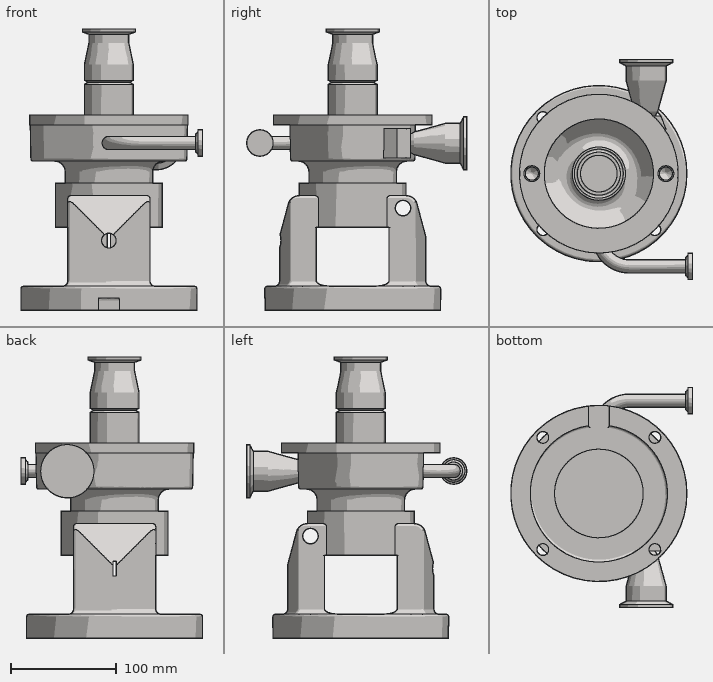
import cadquery as cq
import math

base_radius = 83.5
base_height = 22.8
base_edge_fillet = 2.6
base_bore_radius = 42.0
base_bore_fillet = 4.5
bolt_circle_radius = 75.0
bolt_hole_radius = 5.5
bolt_count = 4
bolt_start_angle = 45
notch_width = 20.0
notch_height = 11.8
notch_corner_fillet = 1.8
recess_radius = 65.0
recess_height = notch_height
recess_fillet = 2.6

arm_half_width = 39.0
arm_top = 108.6
arm_ridge_offset = 69.3
arm_ridge_half_width = 2.5
arm_slope = math.tan(math.radians(15))
arm_slope_start = 70.0
arm_start = 25.0
arm_bore_radius = 52.0
arm_top_fillet = 10.5
arm_side_fillet = 3.0
arm_foot_fillet = 5.0
arm_hole_height = 66.0
arm_hole_radius = 6.9
arm_slit_width = 2.75
cross_hole_offset = 47.7
cross_hole_height = 96.8
cross_hole_radius = 7.2

drum_radius = 50.7
drum_bottom = 78.6
drum_top = 120.4
neck_radius = 41.6
neck_fillet = 10.0

casing_bottom = 141.2
casing_top = 175.7
casing_radius = 59.6
casing_draft = 1.0
casing_edge_fillet = 2.5
ear_offset = 40.0
ear_radius = 34.6
flange_radius = 75.2
flange_top = 185.0
screw_offset = 63.5
screw_radius = 7.5
screw_depth = 10.0
screw_tip_radius = 6.2
screw_tip_height = 3.6

pipe_radius = 23.3
dish_radius = 51.8
dish_fillet = 10.0
weld_groove_radius = 20.6
weld_groove_bottom = 214.1
weld_groove_top = 217.9
weld_groove_chamfer = 1.5
reducer_bottom = 232.6
reducer_top = 253.0
inlet_top = 266.6
inlet_bore_radius = 17.4
inlet_bore_bottom = casing_top

clamp_radius = 25.25
clamp_neck_radius = 19.05
clamp_rim = 3.0
clamp_taper = (clamp_radius - clamp_neck_radius) * math.tan(math.radians(20))
gasket_radius = 21.8
gasket_groove_radius = 1.4

outlet_height = 158.2
outlet_offset = 44.8
outlet_end = 108.2
outlet_taper = 3.3
outlet_cone_end = 87.9
outlet_cone_start = 58.4
outlet_cone_radius = 10.9
outlet_neck_radius = 8.6
boss_end = 54.6
boss_half_width = 13.9
boss_shoulder = 42.2
boss_shoulder_half_width = 18.8

drain_height = (casing_bottom + casing_top) / 2
drain_radius = 6.35
drain_offset = 87.9
drain_bend_radius = 28.7
drain_end = 88.9
drain_clamp_radius = 12.6
drain_rim = 4.5
drain_taper = 2.2
drain_taper_radius = 8.5


def cylinder(radius, bottom, top):
    return cq.Workplane("XY").workplane(offset=bottom).circle(radius).extrude(top - bottom)


def revolve_z(profile):
    """Revolve a closed profile drawn as (radius, height) about the Z axis."""
    return profile.close().revolve(360, (0, 0, 0), (0, 1, 0))


def make_base():
    base = cylinder(base_radius, 0, base_height).faces(">Z").edges().fillet(base_edge_fillet)
    base = base.cut(cylinder(base_bore_radius, 0, base_height))
    bore_rim = base.faces(">Z").edges(cq.selectors.RadiusNthSelector(0))
    return bore_rim.fillet(base_bore_fillet)


def make_arm():
    """Build the arm on the -Y side: V-shaped outer faces below a sloping triangular face."""
    side_offset = arm_ridge_offset - arm_slope * (arm_half_width - arm_ridge_half_width)
    top_offset = arm_ridge_offset - arm_slope * (arm_top - arm_slope_start)
    wedge = (
        cq.Workplane("XY")
        .workplane(offset=base_height)
        .moveTo(-arm_half_width, -arm_start)
        .lineTo(-arm_half_width, -side_offset)
        .lineTo(-arm_ridge_half_width, -arm_ridge_offset)
        .lineTo(arm_ridge_half_width, -arm_ridge_offset)
        .lineTo(arm_half_width, -side_offset)
        .lineTo(arm_half_width, -arm_start)
        .close()
        .extrude(arm_top - base_height)
    )
    outer_corners = wedge.faces("<X or >X").edges("|Z and (not >Y)")
    wedge = outer_corners.fillet(arm_side_fillet)
    slope = (
        cq.Workplane("YZ")
        .moveTo(-arm_start, base_height)
        .lineTo(-arm_ridge_offset, base_height)
        .lineTo(-arm_ridge_offset, arm_slope_start)
        .lineTo(-top_offset, arm_top)
        .lineTo(-arm_start, arm_top)
        .close()
        .extrude(arm_half_width, both=True)
    )
    slope = slope.faces(">Z").edges("<Y").fillet(arm_top_fillet)
    slope = slope.faces(">Z").edges("<X or >X").fillet(arm_side_fillet)
    return wedge.intersect(slope)


def foot_edges(stand):
    """Return the edges where the arms stand on the top face of the base."""
    margin = 1.0
    reach_x = arm_half_width + margin
    reach_y = arm_ridge_offset + margin
    edges = []
    for side in (-1, 1):
        arm_zone = cq.selectors.BoxSelector(
            (-reach_x, side * arm_start, base_height - margin),
            (reach_x, side * reach_y, base_height + margin),
        )
        edges += stand.edges(arm_zone).vals()
    return stand.newObject(edges)


def cut_base_details(stand):
    """Drill the bolt holes, recess the underside and open the recess with a notch on the -Y side."""
    bolt_holes = (
        cq.Workplane("XY")
        .polarArray(bolt_circle_radius, bolt_start_angle, 360, bolt_count)
        .circle(bolt_hole_radius)
        .extrude(base_height)
    )
    recess = cylinder(recess_radius, 0, recess_height).faces(">Z").edges().fillet(recess_fillet)
    notch = cq.Workplane("XY").box(notch_width, base_radius, notch_height, centered=(True, False, False))
    notch = notch.edges("|Y and >Z").fillet(notch_corner_fillet).translate((0, -base_radius, 0))
    return stand.cut(bolt_holes).cut(recess).cut(notch)


def cut_arm_openings(stand):
    """Cut the round hole in the -Y arm and the narrow slit of equal height in the +Y arm."""
    hole = (
        cq.Workplane("XZ")
        .center(0, arm_hole_height)
        .circle(arm_hole_radius)
        .extrude(base_radius)
    )
    slit = (
        cq.Workplane("XZ")
        .center(0, arm_hole_height)
        .rect(arm_slit_width, 2 * arm_hole_radius)
        .extrude(-base_radius)
    )
    return stand.cut(hole).cut(slit)


def make_stand():
    arm = make_arm()
    stand = make_base().union(arm).union(arm.rotate((0, 0, 0), (0, 0, 1), 180))
    stand = stand.cut(cylinder(arm_bore_radius, base_height, drum_bottom))
    stand = foot_edges(stand).fillet(arm_foot_fillet)
    return cut_arm_openings(cut_base_details(stand))


def make_drum():
    """Build the drum between the arms and the neck that flares out below the casing."""
    neck_straight_top = casing_bottom - neck_fillet
    flare_radius = neck_radius + neck_fillet
    return revolve_z(
        cq.Workplane("XZ")
        .moveTo(0, drum_bottom)
        .lineTo(drum_radius, drum_bottom)
        .lineTo(drum_radius, drum_top)
        .lineTo(neck_radius, drum_top)
        .lineTo(neck_radius, neck_straight_top)
        .radiusArc((flare_radius, casing_bottom), neck_fillet)
        .lineTo(0, casing_bottom)
    )


def make_casing():
    """Build the drafted casing: a circle joined to an ear on each X side by tangent lines."""
    tangent_cos = (casing_radius - ear_radius) / ear_offset
    tangent_sin = math.sqrt(1 - tangent_cos**2)
    round_x = casing_radius * tangent_cos
    round_y = casing_radius * tangent_sin
    ear_x = ear_offset + ear_radius * tangent_cos
    ear_y = ear_radius * tangent_sin
    ear_tip = ear_offset + ear_radius
    casing = (
        cq.Workplane("XY")
        .workplane(offset=casing_top)
        .moveTo(-round_x, round_y)
        .threePointArc((0, casing_radius), (round_x, round_y))
        .lineTo(ear_x, ear_y)
        .threePointArc((ear_tip, 0), (ear_x, -ear_y))
        .lineTo(round_x, -round_y)
        .threePointArc((0, -casing_radius), (-round_x, -round_y))
        .lineTo(-ear_x, -ear_y)
        .threePointArc((-ear_tip, 0), (-ear_x, ear_y))
        .close()
        .extrude(casing_bottom - casing_top, taper=casing_draft)
    )
    casing = casing.faces("<Z").edges().fillet(casing_edge_fillet)
    return casing.union(cylinder(flange_radius, casing_top, flange_top))


def cut_screw_holes(casing):
    """Cut the two blind screw holes: a wide bore, then a narrower conical tip."""
    bore_bottom = flange_top - screw_depth
    screw_hole = revolve_z(
        cq.Workplane("XZ")
        .moveTo(0, flange_top)
        .lineTo(screw_radius, flange_top)
        .lineTo(screw_radius, bore_bottom)
        .lineTo(screw_tip_radius, bore_bottom)
        .lineTo(0, bore_bottom - screw_tip_height)
    )
    for side in (-1, 1):
        casing = casing.cut(screw_hole.translate((side * screw_offset, 0, 0)))
    return casing


def cut_dish(casing):
    """Cut the 45 degree recess whose floor curves up tangentially into the inlet pipe."""
    half = math.sqrt(0.5)
    arc_center_radius = pipe_radius + dish_fillet
    cone_foot_radius = arc_center_radius + dish_fillet * half
    cone_foot = flange_top - (dish_radius - cone_foot_radius)
    arc_center = cone_foot + dish_fillet * half
    dish = revolve_z(
        cq.Workplane("XZ")
        .moveTo(pipe_radius, flange_top)
        .lineTo(pipe_radius, arc_center)
        .threePointArc((arc_center_radius, arc_center - dish_fillet), (cone_foot_radius, cone_foot))
        .lineTo(dish_radius, flange_top)
    )
    return casing.cut(dish)


def make_inlet():
    """Build the inlet pipe with its weld groove, reducer cone and clamp ferrule."""
    return revolve_z(
        cq.Workplane("XZ")
        .moveTo(0, casing_top)
        .lineTo(pipe_radius, casing_top)
        .lineTo(pipe_radius, weld_groove_bottom)
        .lineTo(weld_groove_radius, weld_groove_bottom + weld_groove_chamfer)
        .lineTo(weld_groove_radius, weld_groove_top - weld_groove_chamfer)
        .lineTo(pipe_radius, weld_groove_top)
        .lineTo(pipe_radius, reducer_bottom)
        .lineTo(clamp_neck_radius, reducer_top)
        .lineTo(clamp_neck_radius, inlet_top - clamp_rim - clamp_taper)
        .lineTo(clamp_radius, inlet_top - clamp_rim)
        .lineTo(clamp_radius, inlet_top)
        .lineTo(0, inlet_top)
    )


def cut_inlet(pump):
    """Bore the inlet and cut the half-round gasket groove in its end face."""
    gasket = cq.Workplane("XZ").center(gasket_radius, inlet_top).circle(gasket_groove_radius)
    gasket = gasket.revolve(360, (-gasket_radius, 0, 0), (-gasket_radius, 1, 0))
    return pump.cut(cylinder(inlet_bore_radius, inlet_bore_bottom, inlet_top)).cut(gasket)


def make_outlet():
    """Build the outlet cone and ferrule, together with the boss that joins them to the casing."""
    boss = (
        cq.Workplane("XY")
        .workplane(offset=outlet_height - boss_half_width)
        .moveTo(outlet_offset - boss_half_width, 0)
        .lineTo(outlet_offset - boss_half_width, boss_end)
        .lineTo(outlet_offset + boss_half_width, boss_end)
        .lineTo(outlet_offset + boss_shoulder_half_width, boss_shoulder)
        .lineTo(outlet_offset, 0)
        .close()
        .extrude(2 * boss_half_width)
    )
    cone = (
        cq.Workplane("XY")
        .moveTo(0, 0)
        .lineTo(outlet_neck_radius, 0)
        .lineTo(outlet_neck_radius, boss_end)
        .lineTo(outlet_cone_radius, outlet_cone_start)
        .lineTo(clamp_neck_radius, outlet_cone_end)
        .lineTo(clamp_neck_radius, outlet_end - clamp_rim - outlet_taper)
        .lineTo(clamp_radius, outlet_end - clamp_rim)
        .lineTo(clamp_radius, outlet_end)
        .lineTo(0, outlet_end)
    )
    cone = revolve_z(cone).translate((outlet_offset, 0, outlet_height))
    return boss.union(cone)


def make_drain():
    """Build the drain tube: out along -Y, bent towards +X, ending in a small ferrule."""
    bend_start = drain_bend_radius - drain_offset
    tube_start = bend_start + drain_bend_radius / 2
    rim_start = drain_end - drain_rim
    path = (
        cq.Workplane("XY")
        .workplane(offset=drain_height)
        .moveTo(0, tube_start)
        .lineTo(0, bend_start)
        .radiusArc((drain_bend_radius, -drain_offset), -drain_bend_radius)
        .lineTo(rim_start, -drain_offset)
    )
    tube = (
        cq.Workplane("XZ", origin=(0, tube_start, drain_height))
        .circle(drain_radius)
        .sweep(path)
    )
    ferrule = (
        cq.Workplane("XY", origin=(0, -drain_offset, drain_height))
        .moveTo(rim_start - drain_taper, 0)
        .lineTo(rim_start - drain_taper, drain_taper_radius)
        .lineTo(rim_start, drain_taper_radius + drain_taper)
        .lineTo(rim_start, drain_clamp_radius)
        .lineTo(drain_end, drain_clamp_radius)
        .lineTo(drain_end, 0)
        .close()
        .revolve(360, (0, 0, 0), (1, 0, 0))
    )
    return tube.union(ferrule)


def cut_cross_hole(pump):
    """Drill the hole along X through the +Y arm, just below its top."""
    hole = (
        cq.Workplane("YZ")
        .center(cross_hole_offset, cross_hole_height)
        .circle(cross_hole_radius)
        .extrude(base_radius, both=True)
    )
    return pump.cut(hole)


pump = make_stand().union(make_drum()).union(make_casing())
pump = pump.union(make_outlet()).union(make_drain())
pump = cut_dish(cut_screw_holes(pump))
pump = cut_inlet(pump.union(make_inlet()))
result = cut_cross_hole(pump)